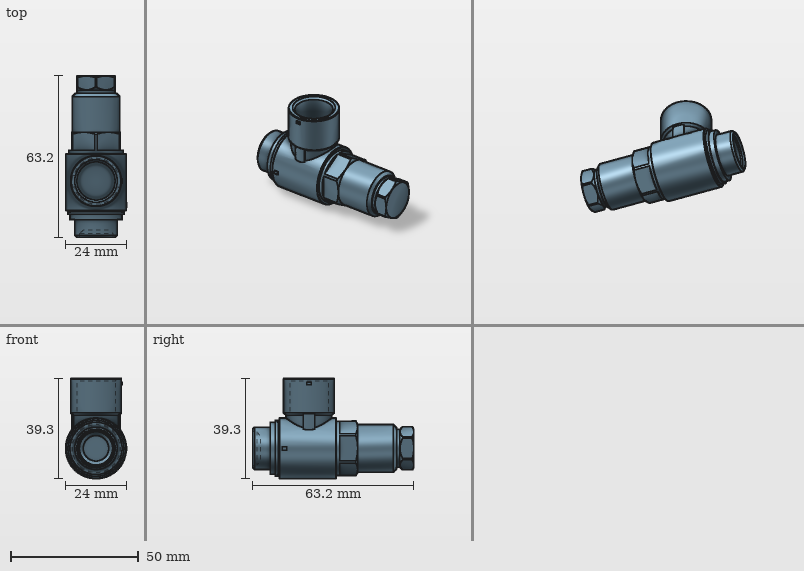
import cadquery as cq
import math


length = 63.2
spigot_end = 6.9
flange_end = 9.0
ring_end = 10.0
body_start = 10.5
body_end = 32.7
collar_end = 34.1
large_hex_end = 41.2
barrel_end = 56.45
small_hex_start = 57.65

spigot_dia = 16.7
flange_dia = 20.5
ring_dia = 22.0
ring_neck_dia = 20.15
body_dia = 23.8
collar_dia = 21.4
barrel_dia = 18.8
neck_dia = 15.0

spigot_chamfer = 0.8
body_chamfer = 0.2
barrel_chamfer = 1.3

large_hex_flats = 19.0
small_hex_flats = 15.0
small_hex_corner_dia = 16.95
hex_half_angle = 30.0
hex_face_inset = 0.1
hex_chamfer_angle = 30.0
hex_neck_chamfer_angle = 45.0

socket_mouth_dia = 13.9
socket_throat_dia = 13.0
socket_floor_dia = 10.0
socket_taper_depth = 0.8
socket_throat_depth = 1.6
socket_depth = 3.0

branch_y = 22.05
branch_top = 27.35
branch_dia = 20.0
branch_bottom = 13.95
branch_neck_dia = 18.0
branch_edge_height = 0.4
branch_edge_width = 0.2
bore_dia = 15.0
bore_mouth_dia = 16.7
bore_depth = branch_top - branch_bottom

lug_dia = 18.95
lug_width = 4.6

body_mark_height = 0.2
branch_mark_height = 0.3
mark_width = 1.8
body_mark_tall = 1.3
body_mark_y = 12.6
branch_mark_tall = 0.95
branch_mark_z = 25.35


def turned_about_y(points):
    """Revolve a (radius, y) outline about the main axis."""
    return cq.Workplane("XY").polyline(points).close().revolve(360, (0, 0, 0), (0, 1, 0))


def turned_branch(points):
    """Revolve a (radius, z) outline about the branch axis."""
    outline = cq.Workplane("XZ").polyline(points).close()
    return outline.revolve(360, (0, 0, 0), (0, 1, 0)).translate((0, branch_y, 0))


def cylinder_along_y(diameter, start, end):
    return cq.Workplane("XZ", origin=(0, start, 0)).circle(diameter / 2).extrude(start - end)


def hexagon(flats, corner_dia, start, end, start_angle, end_angle):
    """Hexagon with round corners; an end with an angle gets a conical chamfer from the flats."""
    corner_radius = corner_dia / 2
    face_radius = flats / 2 - hex_face_inset
    drop = corner_radius - face_radius
    start_chamfer = drop * math.tan(math.radians(start_angle))
    end_chamfer = drop * math.tan(math.radians(end_angle))
    start_radius = face_radius if start_angle else corner_radius
    outline = [(0, start), (start_radius, start)]
    if start_angle:
        outline.append((corner_radius, start + start_chamfer))
    outline += [(corner_radius, end - end_chamfer), (face_radius, end), (0, end)]
    across_corners = flats / math.cos(math.radians(hex_half_angle))
    prism = (
        cq.Workplane("XZ", origin=(0, start, 0))
        .transformed(rotate=(0, 0, hex_half_angle))
        .polygon(6, across_corners)
        .extrude(start - end)
    )
    return prism.intersect(turned_about_y(outline))


def front_end():
    spigot = cylinder_along_y(spigot_dia, 0, spigot_end).faces("<Y").chamfer(spigot_chamfer)
    flange = cylinder_along_y(flange_dia, spigot_end, flange_end)
    ring = cylinder_along_y(ring_dia, flange_end, ring_end)
    ring_neck = cylinder_along_y(ring_neck_dia, ring_end, body_start)
    return spigot.union(flange).union(ring).union(ring_neck)


def body():
    barrel = cylinder_along_y(body_dia, body_start, body_end)
    return barrel.faces("<Y or >Y").edges().chamfer(body_chamfer)


def back_end():
    collar = cylinder_along_y(collar_dia, body_end, collar_end)
    large_hex = hexagon(large_hex_flats, collar_dia, collar_end, large_hex_end, 0, hex_chamfer_angle)
    barrel = cylinder_along_y(barrel_dia, large_hex_end, barrel_end).faces(">Y").chamfer(barrel_chamfer)
    neck = cylinder_along_y(neck_dia, barrel_end, small_hex_start)
    small_hex = hexagon(
        small_hex_flats,
        small_hex_corner_dia,
        small_hex_start,
        length,
        hex_neck_chamfer_angle,
        hex_chamfer_angle,
    )
    return collar.union(large_hex).union(barrel).union(neck).union(small_hex)


def branch():
    radius = branch_dia / 2
    neck_radius = branch_neck_dia / 2
    cone_bottom = branch_bottom - (radius - neck_radius)
    shell = turned_branch([
        (0, 0),
        (neck_radius, 0),
        (neck_radius, cone_bottom),
        (radius, branch_bottom),
        (radius, branch_top - branch_edge_height),
        (radius - branch_edge_width, branch_top),
        (0, branch_top),
    ])
    lug_top = branch_bottom - (radius - lug_dia / 2)
    lugs = (
        cq.Workplane("XY", origin=(0, branch_y, 0))
        .circle(lug_dia / 2)
        .extrude(lug_top)
        .intersect(cq.Workplane("XY", origin=(0, branch_y, lug_top / 2)).box(lug_dia, lug_width, lug_top))
    )
    return shell.union(lugs)


def branch_bore():
    radius = bore_dia / 2
    mouth_radius = bore_mouth_dia / 2
    floor = branch_top - bore_depth
    return turned_branch([
        (0, floor),
        (radius, floor),
        (radius, branch_top - (mouth_radius - radius)),
        (mouth_radius, branch_top),
        (0, branch_top),
    ])


def front_socket():
    return turned_about_y([
        (0, 0),
        (socket_mouth_dia / 2, 0),
        (socket_throat_dia / 2, socket_taper_depth),
        (socket_throat_dia / 2, socket_throat_depth),
        (socket_floor_dia / 2, socket_depth),
        (0, socket_depth),
    ])


def raised_mark(surface_radius, height, y, z, tall):
    """Small pad that stands out of a round wall on the +X side."""
    root = surface_radius - height
    outer = surface_radius + height
    pad = cq.Workplane("XY").box(outer - root, mark_width, tall)
    return pad.translate(((root + outer) / 2, y, z))


result = front_end().union(body()).union(back_end()).union(branch())
result = result.cut(branch_bore()).cut(front_socket())
body_mark = raised_mark(body_dia / 2, body_mark_height, body_mark_y, 0, body_mark_tall)
branch_mark = raised_mark(branch_dia / 2, branch_mark_height, branch_y, branch_mark_z, branch_mark_tall)
result = result.union(body_mark).union(branch_mark)